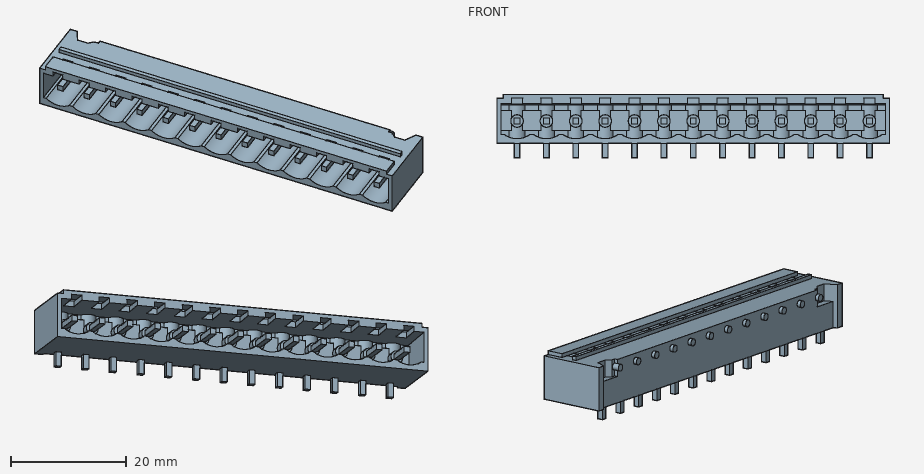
import cadquery as cq
import math


length = 67.95
overall_depth = 12.0
body_height = 7.8
ear_overhang = 0.7
body_depth = overall_depth - ear_overhang
end_wall = 0.75

ridge_height = 0.7
ridge_inset = 1.1
ridge_length = length - 2 * ridge_inset
front_ridge_depth = 3.05
rear_ridge_start = 5.4
rear_ridge_depth = 0.75

contact_count = 13
row_length = 60.95
pitch = row_length / (contact_count - 1)
pin_side = 1.0
pin_z = 3.9
pin_tip_y = 1.0
tail_y = 9.9
tail_length = 2.5

cavity_depth = 8.3
cavity_length = length - 2 * end_wall
floor_z = 1.55
ceiling_front_z = 6.9
ceiling_back_z = 6.65
groove_bottom_z = 0.8
groove_half_width = 2.25
bar_bottom_z = 2.25
bar_top_z = 5.7
bar_thickness = 0.5
post_radius = 1.55
post_half_width = 1.35
boss_radius = 1.1
boss_tip_y = 6.25

keyway_width = 1.9
keyway_overrun = 1.0
keyway_depth = front_ridge_depth + keyway_overrun

ear_width = 1.35
ear_foot = 1.7
notch_floor_start = 2.45
notch_floor_end = 4.4
notch_ramp_end = 5.3
notch_depth = 1.4
notch_step_depth = 0.6
notch_height = 3.05

peg_radius = 0.6
peg_z = 6.45
peg_root = notch_step_depth

contact_xs = [(i - (contact_count - 1) / 2) * pitch for i in range(contact_count)]
peg_xs = [x + pitch / 2 for x in contact_xs[:-1]]
notch_end = length / 2 + peg_xs[0]


def box(x_size, y_start, y_end, z_start, z_end, x_center=0.0):
    """Block centred on x_center, given by its Y and Z limits."""
    size = (x_size, y_end - y_start, z_end - z_start)
    corner = (x_center, y_start, z_start)
    return cq.Workplane("XY").box(*size, centered=(True, False, False)).translate(corner)


def rod(x, z, radius, y_start, y_end):
    """Round bar along Y."""
    return cq.Workplane("XZ", origin=(x, y_start, z)).circle(radius).extrude(y_start - y_end)


def make_shell():
    """Housing block with end ears and roof ridges."""
    half = length / 2
    right_edge = [
        (half, 0),
        (half, overall_depth),
        (half - ear_width, overall_depth),
        (half - ear_foot, body_depth),
    ]
    left_edge = [(-x, y) for x, y in reversed(right_edge)]
    shell = cq.Workplane("XY").polyline(right_edge + left_edge).close().extrude(body_height)
    roof_top = body_height + ridge_height
    rear_ridge_end = rear_ridge_start + rear_ridge_depth
    shell = shell.union(box(ridge_length, 0, front_ridge_depth, floor_z, roof_top))
    return shell.union(box(ridge_length, rear_ridge_start, rear_ridge_end, floor_z, roof_top))


def make_notch(side):
    """Blind notch in the roof's back edge, beside the ear at the -X (-1) or +X (+1) end."""
    notch_floor_y = body_depth - notch_depth
    step_y = body_depth - notch_step_depth
    outline = [
        (ear_foot, body_depth),
        (notch_floor_start, notch_floor_y),
        (notch_floor_end, notch_floor_y),
        (notch_ramp_end, step_y),
        (notch_end, step_y),
        (notch_end, body_depth),
    ]
    points = [(side * (length / 2 - inset), y) for inset, y in outline]
    return cq.Workplane("XY", origin=(0, 0, body_height)).polyline(points).close().extrude(-notch_height)


def make_cavity():
    """Open front cavity with a tapered ceiling, scalloped floor and keyway slots."""
    profile = [(0, floor_z), (cavity_depth, floor_z), (cavity_depth, ceiling_back_z), (0, ceiling_front_z)]
    cavity = cq.Workplane("YZ").polyline(profile).close().extrude(cavity_length / 2, both=True)
    groove_depth = floor_z - groove_bottom_z
    groove_radius = (groove_half_width**2 + groove_depth**2) / (2 * groove_depth)
    for x in contact_xs:
        groove = (
            cq.Workplane("XZ")
            .moveTo(x - groove_half_width, floor_z)
            .radiusArc((x + groove_half_width, floor_z), -groove_radius)
            .close()
            .extrude(-cavity_depth)
        )
        cavity = cavity.union(groove)
        cavity = cavity.union(box(keyway_width, 0, keyway_depth, floor_z, body_height, x))
    return cavity


def make_contact(x):
    """Right-angle square contact: mating pin along Y and solder tail down."""
    half = pin_side / 2
    pin = box(pin_side, pin_tip_y, tail_y + half, pin_z - half, pin_z + half, x)
    return pin.union(box(pin_side, tail_y - half, tail_y + half, -tail_length, pin_z + half, x))


def make_post(x):
    """Rounded upright post bulging from the cavity's back wall."""
    center_y = cavity_depth + math.sqrt(post_radius**2 - post_half_width**2)
    base_z = groove_bottom_z / 2
    post = cq.Workplane("XY", origin=(x, center_y, base_z)).circle(post_radius)
    return post.extrude(ceiling_front_z - base_z)


bar_length = cavity_length + end_wall
result = make_shell().cut(make_cavity())
result = result.union(box(bar_length, cavity_depth - bar_thickness, cavity_depth, bar_bottom_z, bar_top_z))
for contact_x in contact_xs:
    result = result.union(make_post(contact_x))
    result = result.union(rod(contact_x, pin_z, boss_radius, boss_tip_y, cavity_depth))
for end in (-1, 1):
    result = result.cut(make_notch(end))
for contact_x in contact_xs:
    result = result.union(make_contact(contact_x))
for peg_x in peg_xs:
    result = result.union(rod(peg_x, peg_z, peg_radius, body_depth - peg_root, overall_depth))